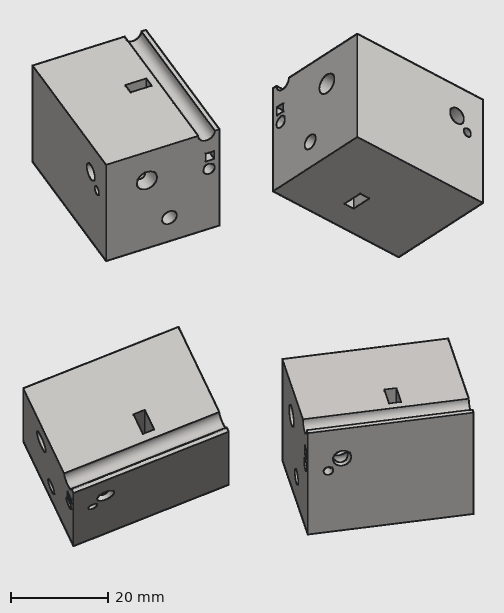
import cadquery as cq

length = 34.92
width = 25.96
height = 26.175

rod_diameter = 3.81
groove_from_back = 2.97

large_hole = (4.6, 16.6, 7.73)
lower_hole = (3.37, 11.48, 19.71)

main_lobe = (2.58, 2.39, 9.93)
upper_lobe = (2.0, 2.6, 9.47)

rod_cross_hole = (rod_diameter, 7.24, 7.55)
small_cross_hole = (2.0, 4.36, 10.39)

channel_width = 2.0
channel_height = 2.1
channel_from_back = 1.2
channel_below_top = 5.5

slot_length = 2.55
slot_width = 4.85
slot_from_left = 13.9
slot_from_back = 6.6


def rod_along_x(diameter, from_back, below_top):
    """Full-length cylinder parallel to X."""
    profile = cq.Workplane("YZ").center(width - from_back, height - below_top)
    return profile.circle(diameter / 2).extrude(length)


def rod_along_y(diameter, from_right, below_top):
    """Full-width cylinder parallel to Y."""
    profile = cq.Workplane("XZ").center(length - from_right, height - below_top)
    return profile.circle(diameter / 2).extrude(-width)


def channel_bar():
    """Full-length rectangular bar parallel to X."""
    front = width - channel_from_back - channel_width
    bottom = height - channel_below_top - channel_height
    bar = cq.Workplane("XY").box(length, channel_width, channel_height, centered=False)
    return bar.translate((0, front, bottom))


def slot_bar():
    """Full-height rectangular bar parallel to Z."""
    front = width - slot_from_back - slot_width
    bar = cq.Workplane("XY").box(slot_length, slot_width, height, centered=False)
    return bar.translate((slot_from_left, front, 0))


block = cq.Workplane("XY").box(length, width, height, centered=False)
block = block.cut(rod_along_x(rod_diameter, groove_from_back, 0))

for hole in (large_hole, lower_hole, main_lobe, upper_lobe):
    block = block.cut(rod_along_x(*hole))

for hole in (rod_cross_hole, small_cross_hole):
    block = block.cut(rod_along_y(*hole))

block = block.cut(channel_bar())
result = block.cut(slot_bar())